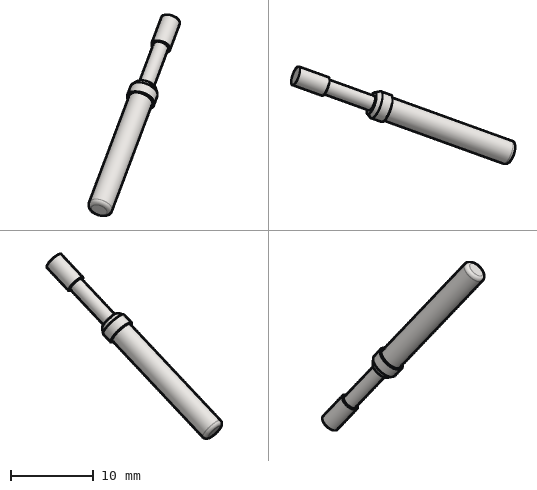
import cadquery as cq

total_length = 29.3
body_diameter = 3.0
body_length = 17.0
body_nose_radius = 0.5
collar_diameter = 3.5
collar_length = 2.0
collar_chamfer_length = 0.62
collar_chamfer_depth = 0.35
neck_diameter = 1.9
tip_diameter = 2.4
tip_length = 4.0

collar_end = body_length + collar_length
tip_start = total_length - tip_length


def cylinder_along_y(diameter, start, end):
    """Solid cylinder on the Y axis between two Y positions."""
    sketch_plane = cq.Workplane("XZ", origin=(0, start, 0))
    return sketch_plane.circle(diameter / 2).extrude(start - end)


def make_body():
    """Main barrel with a rounded front end."""
    body = cylinder_along_y(body_diameter, 0, body_length)
    return body.faces("<Y").edges().fillet(body_nose_radius)


def make_collar():
    """Widest ring, tapered on the side facing the neck."""
    collar_radius = collar_diameter / 2
    profile = (
        cq.Workplane("XY")
        .moveTo(0, body_length)
        .lineTo(collar_radius, body_length)
        .lineTo(collar_radius, collar_end - collar_chamfer_length)
        .lineTo(collar_radius - collar_chamfer_depth, collar_end)
        .lineTo(0, collar_end)
        .close()
    )
    return profile.revolve(360, (0, 0, 0), (0, 1, 0))


neck = cylinder_along_y(neck_diameter, collar_end, tip_start)
tip = cylinder_along_y(tip_diameter, tip_start, total_length)

result = make_body().union(make_collar()).union(neck).union(tip)